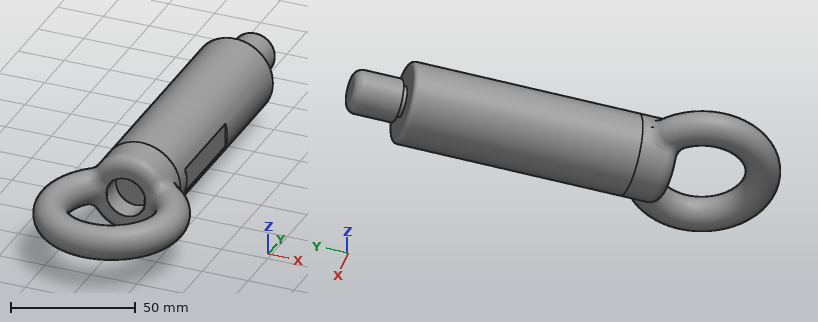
import cadquery as cq

ring_outer_radius = 31.5
ring_wire_radius = 7.0
barrel_radius = 17.0

eye_face_y = 14.5
joint_y = 30.5
sleeve_end_y = 126.5
stud_head_y = 128.7
stud_end_y = 148.5

eye_edge_fillet = 5.0
ring_blend_radius = 5.0
bore_radius = 8.5
bore_depth = 10.0

sleeve_end_fillet = 2.0
recess_floor_x = 16.2
recess_start_y = 37.0
recess_end_y = 78.2

stud_neck_radius = 6.4
stud_head_radius = 9.1
stud_shoulder_fillet = 0.5
stud_tip_fillet = 4.0


def rod(radius, start_y, end_y):
    """Cylinder on the Y axis between two stations."""
    return cq.Workplane("XZ", origin=(0, start_y, 0)).circle(radius).extrude(start_y - end_y)


def make_eye():
    """Ring blended into a short collar, with a blind bore in the collar's face."""
    collar = rod(barrel_radius, eye_face_y, joint_y).faces("<Y").edges().fillet(eye_edge_fillet)
    wire_centre_radius = ring_outer_radius - ring_wire_radius
    ring = cq.Workplane("XY").add(cq.Solid.makeTorus(wire_centre_radius, ring_wire_radius))
    crown = rod(barrel_radius, joint_y, ring_outer_radius)
    eye = collar.union(ring).cut(crown)
    eye = eye.edges("%BSPLINE").fillet(ring_blend_radius)
    return eye.cut(rod(bore_radius, eye_face_y, eye_face_y + bore_depth))


def make_sleeve():
    """Sleeve with its stud on the far end and a shallow flat recess on the +X side."""
    sleeve = rod(barrel_radius, joint_y, sleeve_end_y).faces(">Y").edges().fillet(sleeve_end_fillet)
    neck = rod(stud_neck_radius, sleeve_end_y, stud_head_y)
    head = rod(stud_head_radius, stud_head_y, stud_end_y)
    head = head.faces("<Y").edges().fillet(stud_shoulder_fillet)
    head = head.faces(">Y").edges().fillet(stud_tip_fillet)
    recess_length = recess_end_y - recess_start_y
    recess = cq.Workplane("XY", origin=(recess_floor_x, recess_start_y, 0)).box(
        barrel_radius, recess_length, 2 * barrel_radius, centered=(False, False, True)
    )
    return sleeve.union(neck).union(head).cut(recess)


eye = make_eye()
sleeve = make_sleeve()

result = cq.Compound.makeCompound([eye.val(), sleeve.val()])